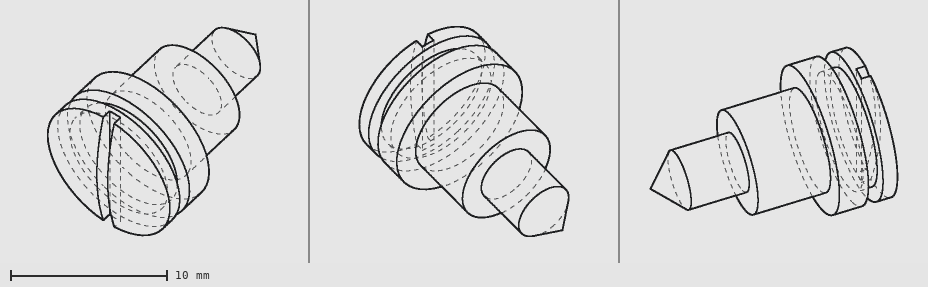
import cadquery as cq
import math

total_length = 15.66
pin_radius = 4.0 / 2
body_radius = 7.0 / 2
flange_radius = 10.0 / 2
groove_radius = 8.0 / 2

tip_length = 2.0
pin_length = 4.0
body_length = 5.0
flange_length = 2.0
groove_length = 1.0
head_rim_length = 1.0

slot_width = 0.9
slot_depth = 1.3

tip_y = total_length / 2
pin_end_y = tip_y - tip_length
body_end_y = pin_end_y - pin_length
flange_end_y = body_end_y - body_length
groove_start_y = flange_end_y - flange_length
head_start_y = groove_start_y - groove_length
rim_end_y = head_start_y - head_rim_length
head_end_y = -total_length / 2

slot_edge = slot_width / 2
edge_height = rim_end_y - head_end_y
center_offset = (flange_radius**2 - slot_edge**2 - edge_height**2) / (2 * edge_height)
sphere_radius = math.hypot(flange_radius, center_offset)
sphere_center_y = rim_end_y + center_offset
apex_y = sphere_center_y - sphere_radius


def turned_body():
    """Revolve the half outline, drawn as (Y, Z) points, about the Y axis."""
    outline = (
        cq.Workplane("YZ")
        .moveTo(tip_y, 0)
        .lineTo(pin_end_y, pin_radius)
        .lineTo(body_end_y, pin_radius)
        .lineTo(body_end_y, body_radius)
        .lineTo(flange_end_y, body_radius)
        .lineTo(flange_end_y, flange_radius)
        .lineTo(groove_start_y, flange_radius)
        .lineTo(groove_start_y, groove_radius)
        .lineTo(head_start_y, groove_radius)
        .lineTo(head_start_y, flange_radius)
        .lineTo(rim_end_y, flange_radius)
        .threePointArc((head_end_y, slot_edge), (apex_y, 0))
        .close()
    )
    return outline.revolve(360, (0, 0, 0), (1, 0, 0))


def driver_slot():
    """Straight cutter along Z, longer than the head is wide."""
    slot_length = 3 * flange_radius
    cutter = cq.Workplane("XY").box(slot_width, 2 * slot_depth, slot_length)
    return cutter.translate((0, head_end_y, 0))


result = turned_body().cut(driver_slot())